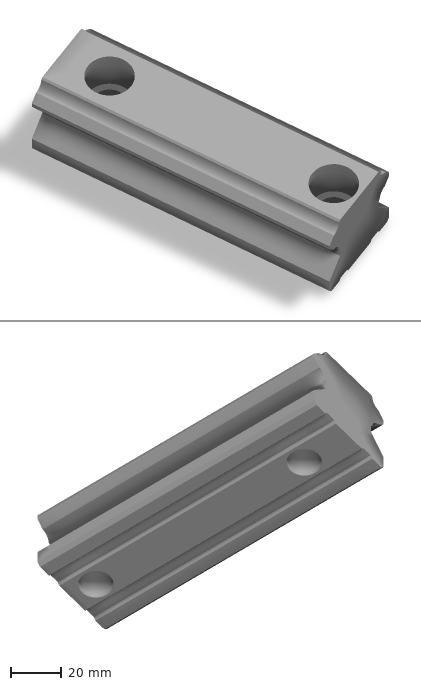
import cadquery as cq
import math

length = 139.4
width = 45.0
height = 37.9

head_mid_height = 28.6
crown_half_width = 14.5
crown_chamfer = 0.8
nose_half_flat = 1.05
nose_chamfer = 3.3
ball_groove_sagitta = 1.1

waist_half_width = crown_half_width
waist_bottom = 15.5
foot_side_height = 7.5
foot_chamfer = 1.7

relief_inner = 8.4
relief_outer = 15.0
relief_depth = 1.3
relief_side_run = 1.0

first_hole_x = 22.5
hole_spacing = 105.0
hole_diameter = 14.1
counterbore_diameter = 20.1
counterbore_depth = 17.0

half_width = width / 2


def mirrored_height(point):
    """Reflect a (y, z) point about the head's mid-height."""
    y, z = point
    return (y, 2 * head_mid_height - z)


groove_top = (crown_half_width + crown_chamfer, height - crown_chamfer)
groove_bottom = (half_width - nose_chamfer, head_mid_height + nose_half_flat + nose_chamfer)
nose_top = (half_width, head_mid_height + nose_half_flat)
chord_y = groove_bottom[0] - groove_top[0]
chord_z = groove_bottom[1] - groove_top[1]
chord = math.hypot(chord_y, chord_z)
groove_middle = (
    (groove_top[0] + groove_bottom[0]) / 2 + ball_groove_sagitta * chord_z / chord,
    (groove_top[1] + groove_bottom[1]) / 2 - ball_groove_sagitta * chord_y / chord,
)


def make_half_rail():
    """Extrude the +Y half of the rail section along X."""
    return (
        cq.Workplane("YZ")
        .moveTo(0, 0)
        .lineTo(0, height)
        .lineTo(crown_half_width, height)
        .lineTo(*groove_top)
        .threePointArc(groove_middle, groove_bottom)
        .lineTo(*nose_top)
        .lineTo(*mirrored_height(nose_top))
        .lineTo(*mirrored_height(groove_bottom))
        .threePointArc(mirrored_height(groove_middle), mirrored_height(groove_top))
        .lineTo(*mirrored_height((crown_half_width, height)))
        .lineTo(waist_half_width, waist_bottom)
        .lineTo(half_width, foot_side_height)
        .lineTo(half_width, foot_chamfer)
        .lineTo(half_width - foot_chamfer, 0)
        .lineTo(relief_outer, 0)
        .lineTo(relief_outer - relief_side_run, relief_depth)
        .lineTo(relief_inner + relief_side_run, relief_depth)
        .lineTo(relief_inner, 0)
        .close()
        .extrude(length)
    )


half_rail = make_half_rail()
rail = half_rail.union(half_rail.mirror("XZ")).clean()

hole_centres = [(first_hole_x, 0), (first_hole_x + hole_spacing, 0)]
result = (
    rail.copyWorkplane(cq.Workplane("XY", origin=(0, 0, height)))
    .pushPoints(hole_centres)
    .cboreHole(hole_diameter, counterbore_diameter, counterbore_depth)
)